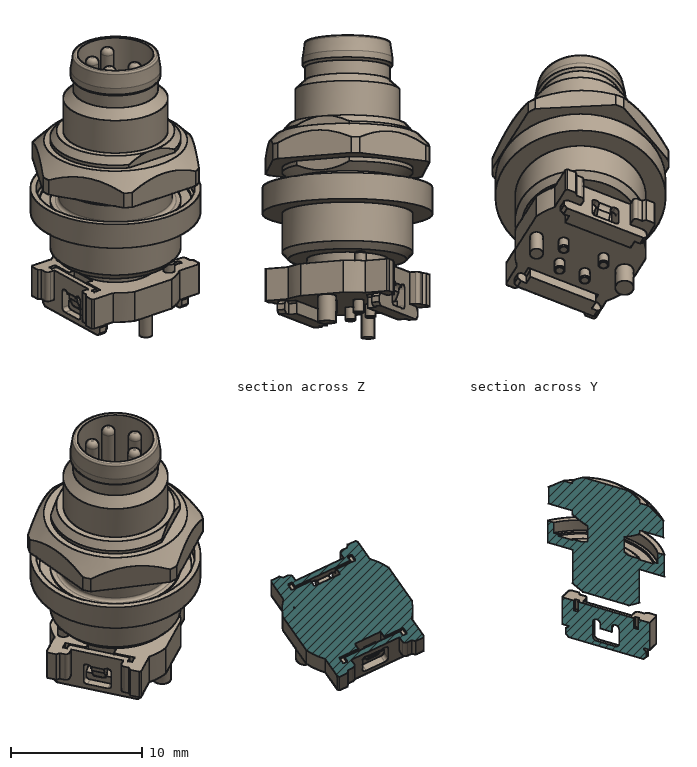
import cadquery as cq
import math

TOTAL_HEIGHT = 22.3
FOOT_Z = 1.03
BLOCK_BOTTOM_Z = 2.03
BLOCK_TOP_Z = 4.5
BOSS_BOTTOM_Z = 5.49
FLANGE_BOTTOM_Z = 9.0
FLANGE_TOP_Z = 11.02
THREAD_BOTTOM_Z = 11.55
NUT_BOTTOM_Z = 12.53
NUT_TOP_Z = 15.03
THREAD_TOP_Z = 15.85

NECK_DIA = 6.2
BODY_DIA = 10.0
CHAMFERED_DIA = 9.0
BOSS_CHAMFER_HEIGHT = 0.54
THREAD_CHAMFER_HEIGHT = 0.55
RELIEF_DIA = 8.7
THREAD_FLATS = 8.96
FLANGE_DIA = 13.0
RECESS_DIA = 12.1
RECESS_STEP_DIA = 11.6
LEDGE_DEPTH = 0.94
RECESS_DEPTH = 1.1
COLLAR_DEPTH = 1.0
RELIEF_FILLET = 0.27
SEARCH_MARGIN = 0.02

SLEEVE_DIA = 8.0
SLEEVE_TOP_Z = 18.6
GROOVE_DIA = 6.5
GROOVE_BOTTOM_Z = 19.31
GROOVE_TOP_Z = 20.34
LIP_DIA = 6.9
LIP_BOTTOM_Z = 20.54
LIP_TOP_Z = 21.07
TIP_DIA = 6.53
TIP_FILLET = 0.15
BORE_DIA = 5.8
BORE_FLOOR_Z = THREAD_TOP_Z

NUT_FLATS = 12.0
NUT_CORNER_DIA = 13.5
NUT_TOP_DIA = 10.95

CONTACT_DIA = 1.0
CONTACT_TOP_Z = 22.05
CONTACT_NOSE_RADIUS = 0.42
TAIL_DIA = 0.8
TAIL_CHAMFER = 0.1
CONTACTS = [(-1.7, 0.54), (1.7, 0.54), (-1.07, -1.43), (1.07, -1.43)]
PEG_DIA = 0.9
PEG_TOP_Z = 5.33
PEG_CHAMFER = 0.13
PEGS = [(-3.3, -2.6), (3.3, 2.6)]
POST_X = 3.75
LARGE_POST_DIA = 1.4
SMALL_POST_DIA = 1.0

BLOCK_HALF_X = 4.65
EAR_HALF_X = 3.81
EAR_HALF_Y = 5.22
EAR_CHAMFER_X = 0.11
EAR_CHAMFER_Y = 0.15
EAR_STEP_OUTER_X = 2.99
EAR_STEP_INNER_X = 2.79
EAR_STEP_Y = 5.0
NOTCH_HALF_X = 2.1
NOTCH_FILLET = 0.3

CLIP_FRONT_Y = 4.28
CLIP_BACK_Y = 3.65
CLIP_HALF_X = 3.52
CLIP_CORNER = 0.27
RIB_BACK_Y = 2.97
RIB_HALF_X = 2.79
RIB_FLARE = 0.18
SLOT_WIDTH = 0.13
SLOT_DEPTH = 0.9
SLOT_HOOK_WIDTH = 0.33
SLOT_HOOK_Y = 4.24
CHANNEL_BACK_Y = 3.12
CHANNEL_FRONT_Z = 2.12
CHANNEL_BACK_Z = 2.36
WINDOW_HALF_X = 1.12
WINDOW_BOTTOM_Z = 1.47
WINDOW_TOP_Z = 3.37
WINDOW_CORNER = 0.3
TONGUE_HALF_X = 0.51
TONGUE_ROOT_Z = 3.23
TONGUE_NOSE_Z = 2.7
TONGUE_TIP_Z = 1.96
TONGUE_NOSE_Y = 4.05
TONGUE_TIP_Y = 3.75
TONGUE_BACK_Y = 3.4
TONGUE_SAG = 0.07
TONGUE_CORNER = 0.2


def cylinder(diameter, bottom, top, center=(0, 0)):
    return cq.Workplane("XY", origin=(*center, bottom)).circle(diameter / 2).extrude(top - bottom)


def box(x_range, y_range, z_range):
    """Box between two limits along each axis."""
    spans = (x_range, y_range, z_range)
    size = [high - low for low, high in spans]
    return cq.Workplane("XY", origin=[low for low, high in spans]).box(*size, centered=False)


def turned(profile):
    """Solid of revolution about Z from (diameter, z) points, closed along the axis."""
    points = [(0, profile[0][1])] + [(dia / 2, z) for dia, z in profile] + [(0, profile[-1][1])]
    return cq.Workplane("XZ").polyline(points).close().revolve(360, (0, 0), (0, 1))


def flange_and_boss():
    body = turned([
        (NECK_DIA, BLOCK_BOTTOM_Z),
        (NECK_DIA, BOSS_BOTTOM_Z),
        (CHAMFERED_DIA, BOSS_BOTTOM_Z),
        (BODY_DIA, BOSS_BOTTOM_Z + BOSS_CHAMFER_HEIGHT),
        (BODY_DIA, FLANGE_BOTTOM_Z),
        (FLANGE_DIA, FLANGE_BOTTOM_Z),
        (FLANGE_DIA, FLANGE_TOP_Z),
        (RECESS_DIA, FLANGE_TOP_Z),
        (RECESS_DIA, FLANGE_TOP_Z - LEDGE_DEPTH),
        (RECESS_STEP_DIA, FLANGE_TOP_Z - LEDGE_DEPTH),
        (RECESS_STEP_DIA, FLANGE_TOP_Z - RECESS_DEPTH),
        (BODY_DIA, FLANGE_TOP_Z - RECESS_DEPTH),
        (BODY_DIA, FLANGE_TOP_Z - COLLAR_DEPTH),
        (RELIEF_DIA, FLANGE_TOP_Z - COLLAR_DEPTH),
        (RELIEF_DIA, THREAD_BOTTOM_Z),
    ])
    floor_z = FLANGE_TOP_Z - COLLAR_DEPTH
    reach = RELIEF_DIA / 2 + RELIEF_FILLET
    root = cq.selectors.BoxSelector(
        (-reach, -reach, floor_z - SEARCH_MARGIN), (reach, reach, floor_z + SEARCH_MARGIN), boundingbox=True
    )
    return body.edges(root).fillet(RELIEF_FILLET)


def thread():
    blank = turned([
        (RELIEF_DIA, THREAD_BOTTOM_Z),
        (BODY_DIA, THREAD_BOTTOM_Z + (BODY_DIA - RELIEF_DIA) / 2),
        (BODY_DIA, THREAD_TOP_Z - THREAD_CHAMFER_HEIGHT),
        (CHAMFERED_DIA, THREAD_TOP_Z),
    ])
    half = THREAD_FLATS / 2
    return blank.intersect(box((-half, half), (-BODY_DIA, BODY_DIA), (0, TOTAL_HEIGHT)))


def nut():
    across_corners = NUT_FLATS / math.cos(math.pi / 6)
    hexagon = (
        cq.Workplane("XY", origin=(0, 0, NUT_BOTTOM_Z))
        .transformed(rotate=(0, 0, 30))
        .polygon(6, across_corners)
        .extrude(NUT_TOP_Z - NUT_BOTTOM_Z)
    )
    chamfer_height = (NUT_CORNER_DIA - NUT_TOP_DIA) / 2
    envelope = turned([
        (NUT_CORNER_DIA, NUT_BOTTOM_Z),
        (NUT_CORNER_DIA, NUT_TOP_Z - chamfer_height),
        (NUT_TOP_DIA, NUT_TOP_Z),
    ])
    return hexagon.intersect(envelope)


def plug():
    sleeve = turned([
        (SLEEVE_DIA, THREAD_TOP_Z),
        (SLEEVE_DIA, SLEEVE_TOP_Z),
        (GROOVE_DIA, GROOVE_BOTTOM_Z),
        (GROOVE_DIA, GROOVE_TOP_Z),
        (LIP_DIA, LIP_BOTTOM_Z),
        (LIP_DIA, LIP_TOP_Z),
        (TIP_DIA, TOTAL_HEIGHT),
    ])
    sleeve = sleeve.faces(">Z").edges().fillet(TIP_FILLET)
    return sleeve.cut(cylinder(BORE_DIA, BORE_FLOOR_Z, TOTAL_HEIGHT))


def contact(center):
    pin = cylinder(CONTACT_DIA, BORE_FLOOR_Z, CONTACT_TOP_Z, center)
    pin = pin.faces(">Z").edges().fillet(CONTACT_NOSE_RADIUS)
    tail = cylinder(TAIL_DIA, FOOT_Z, BORE_FLOOR_Z, center).faces("<Z").chamfer(TAIL_CHAMFER)
    return pin.union(tail)


def peg(center):
    return cylinder(PEG_DIA, BLOCK_BOTTOM_Z, PEG_TOP_Z, center).faces(">Z").chamfer(PEG_CHAMFER)


def ear_pair():
    """Half of the block on the -Y side: two ears with a notch between them down to the clip face."""
    right = [
        (NOTCH_HALF_X, -CLIP_FRONT_Y),
        (NOTCH_HALF_X, -EAR_STEP_Y),
        (EAR_STEP_INNER_X, -EAR_STEP_Y),
        (EAR_STEP_OUTER_X, -EAR_HALF_Y),
        (EAR_HALF_X - EAR_CHAMFER_X, -EAR_HALF_Y),
        (EAR_HALF_X, -EAR_HALF_Y + EAR_CHAMFER_Y),
        (EAR_HALF_X, 0),
    ]
    left = [(-x, y) for x, y in reversed(right)]
    outline = cq.Workplane("XY", origin=(0, 0, BLOCK_BOTTOM_Z)).polyline(left + right).close()
    block = outline.extrude(BLOCK_TOP_Z - BLOCK_BOTTOM_Z)
    reach = NOTCH_HALF_X + NOTCH_FILLET
    corners = cq.selectors.BoxSelector(
        (-reach, -EAR_STEP_Y - NOTCH_FILLET, 0), (reach, -EAR_STEP_Y + NOTCH_FILLET, TOTAL_HEIGHT)
    )
    return block.edges("|Z").edges(corners).fillet(NOTCH_FILLET)


def clip_foot():
    """Clip plate below the block, with the rib behind it flaring out to meet the block."""
    plate = box((-CLIP_HALF_X, CLIP_HALF_X), (-CLIP_FRONT_Y, -CLIP_BACK_Y), (FOOT_Z, BLOCK_BOTTOM_Z))
    plate = plate.edges("|Y").chamfer(CLIP_CORNER)
    rib = box((-RIB_HALF_X, RIB_HALF_X), (-CLIP_BACK_Y, -RIB_BACK_Y), (FOOT_Z, BLOCK_BOTTOM_Z))
    flare = (
        cq.Workplane("XZ", origin=(0, -RIB_BACK_Y, 0))
        .moveTo(-RIB_HALF_X, BLOCK_BOTTOM_Z - RIB_FLARE)
        .lineTo(RIB_HALF_X, BLOCK_BOTTOM_Z - RIB_FLARE)
        .lineTo(RIB_HALF_X + RIB_FLARE, BLOCK_BOTTOM_Z)
        .lineTo(-RIB_HALF_X - RIB_FLARE, BLOCK_BOTTOM_Z)
        .close()
        .extrude(CLIP_BACK_Y - RIB_BACK_Y)
    )
    return plate.union(rib).union(flare)


def clip_slot():
    """Narrow slot in the block top, hooked forward at both ends."""
    depth_range = (BLOCK_TOP_Z - SLOT_DEPTH, BLOCK_TOP_Z)
    slot = box((-RIB_HALF_X, RIB_HALF_X), (-CLIP_BACK_Y - SLOT_WIDTH, -CLIP_BACK_Y), depth_range)
    for side in (-1, 1):
        x_range = sorted((side * RIB_HALF_X, side * (RIB_HALF_X - SLOT_HOOK_WIDTH)))
        slot = slot.union(box(x_range, (-SLOT_HOOK_Y, -CLIP_BACK_Y), depth_range))
    return slot


def clip_channel():
    """Channel behind the window, open to the block top, with a sloping floor."""
    return (
        cq.Workplane("YZ", origin=(-WINDOW_HALF_X, 0, 0))
        .moveTo(-CLIP_BACK_Y - SLOT_WIDTH, CHANNEL_FRONT_Z)
        .lineTo(-CLIP_BACK_Y, CHANNEL_FRONT_Z)
        .lineTo(-CHANNEL_BACK_Y, CHANNEL_BACK_Z)
        .lineTo(-CHANNEL_BACK_Y, BLOCK_TOP_Z)
        .lineTo(-CLIP_BACK_Y - SLOT_WIDTH, BLOCK_TOP_Z)
        .close()
        .extrude(2 * WINDOW_HALF_X)
    )


def clip_window():
    """Window through the clip plate: two round-topped lobes joined across the bottom."""
    y_range = (-CLIP_FRONT_Y, -CLIP_BACK_Y)
    window = box((-WINDOW_HALF_X, WINDOW_HALF_X), y_range, (WINDOW_BOTTOM_Z, TONGUE_ROOT_Z - WINDOW_CORNER))
    window = window.edges("|Y and <Z").fillet(WINDOW_CORNER)
    middle = box((-TONGUE_HALF_X, TONGUE_HALF_X), y_range, (WINDOW_BOTTOM_Z, TONGUE_ROOT_Z))
    window = window.union(middle)
    for side in (-1, 1):
        x_range = sorted((side * TONGUE_HALF_X, side * WINDOW_HALF_X))
        lobe = box(x_range, y_range, (WINDOW_BOTTOM_Z + WINDOW_CORNER, WINDOW_TOP_Z))
        window = window.union(lobe.edges("|Y and >Z").fillet(WINDOW_CORNER))
    return window


def clip_tongue():
    """Latch tongue hanging from the top of the window: concave root, then slanting back."""
    arc_middle = (
        -(CLIP_FRONT_Y + TONGUE_NOSE_Y) / 2 + TONGUE_SAG,
        (TONGUE_ROOT_Z + TONGUE_NOSE_Z) / 2,
    )
    tongue = (
        cq.Workplane("YZ", origin=(-TONGUE_HALF_X, 0, 0))
        .moveTo(-CLIP_FRONT_Y, TONGUE_ROOT_Z)
        .threePointArc(arc_middle, (-TONGUE_NOSE_Y, TONGUE_NOSE_Z))
        .lineTo(-TONGUE_TIP_Y, TONGUE_TIP_Z)
        .lineTo(-TONGUE_BACK_Y, TONGUE_TIP_Z)
        .lineTo(-TONGUE_BACK_Y, TONGUE_ROOT_Z)
        .close()
        .extrude(2 * TONGUE_HALF_X)
    )
    return tongue.faces("<Z").edges("|Y").fillet(TONGUE_CORNER)


def both_ends(solid):
    return solid.union(solid.mirror("XZ"))


def base():
    """Base block: a flat-sided drum with ears, a clip and a latch tongue at each end."""
    drum = cylinder(BODY_DIA, BLOCK_BOTTOM_Z, BLOCK_TOP_Z).intersect(
        box((-BLOCK_HALF_X, BLOCK_HALF_X), (-CLIP_BACK_Y, CLIP_BACK_Y), (BLOCK_BOTTOM_Z, BLOCK_TOP_Z))
    )
    block = drum.union(both_ends(ear_pair())).union(both_ends(clip_foot()))
    for opening in (clip_slot(), clip_channel(), clip_window()):
        block = block.cut(opening).cut(opening.mirror("XZ"))
    return block.union(both_ends(clip_tongue()))


result = flange_and_boss().union(thread()).union(nut()).union(plug()).union(base())
for position in CONTACTS:
    result = result.union(contact(position))
for position in PEGS:
    result = result.union(peg(position))
result = result.union(cylinder(LARGE_POST_DIA, 0, BLOCK_TOP_Z, (-POST_X, 0)))
result = result.union(cylinder(SMALL_POST_DIA, 0, BLOCK_TOP_Z, (POST_X, 0)))